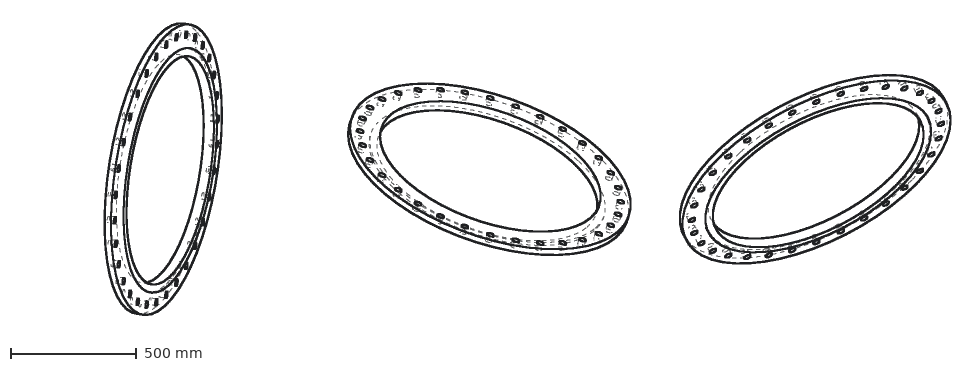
import cadquery as cq

outer_diameter = 1168.0
bore_diameter = 918.0
flange_thickness = 28.0

overall_length = 44.0
hub_diameter = 984.0
hub_root_fillet = 6.0

bolt_count = 32
bolt_circle_diameter = 1084.0
bolt_hole_diameter = 27.0


def disc(diameter, length):
    """Solid disc from the X = 0 face towards +X."""
    return cq.Workplane("YZ").circle(diameter / 2).extrude(length)


def bolt_holes():
    """Cutters for the through holes, the first one on the +Y axis."""
    return (
        cq.Workplane("YZ")
        .polarArray(bolt_circle_diameter / 2, 0, 360, bolt_count)
        .circle(bolt_hole_diameter / 2)
        .extrude(flange_thickness)
    )


def rounded_hub_root(body):
    """Fillet the inside corner where the hub meets the flange."""
    hub_root = cq.selectors.RadiusNthSelector(0)
    root_edges = body.faces("|X").faces(">X[-2]").edges(hub_root)
    return root_edges.fillet(hub_root_fillet)


flange = disc(outer_diameter, flange_thickness)
hub = disc(hub_diameter, overall_length)
bore = disc(bore_diameter, overall_length)
result = rounded_hub_root(flange.union(hub)).cut(bore).cut(bolt_holes())